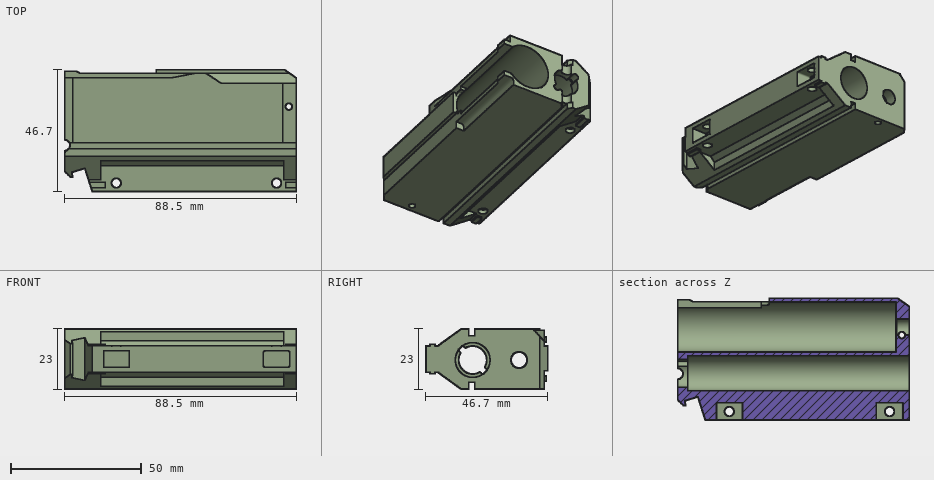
import cadquery as cq

LENGTH = 88.5
HALF_HEIGHT = 11.5
SIDE_Y = 9.65
TAIL_Y = -35.6
RAIL_HALF_HEIGHT = 5.05
SHOULDER_Y = -22.1
FLANK_FOOT_Y = -31.1

BORE_DIAMETER = 19.0
BORE_Z = -0.35
END_WALL_X = 83.4
END_HOLE_DIAMETER = 6.0
END_HOLE_CHAMFER = 0.3
COUNTERSINK_ANGLE = 45.0
CROSS_HOLE_DIAMETER = 2.5
CROSS_HOLE_X = 85.7
CROSS_HOLE_Y = -3.1

SLOT_WIDE_END_X = 31.9
SLOT_HALF_HEIGHT = 6.5
SLOT_END_X = 35.0
SLOT_NARROW_HALF_HEIGHT = 5.05
SLOT_END_RADIUS = 1.2
LIP_Y = 10.4
LIP_LENGTH = 4.5
LIP_TAPER_END_X = 5.9
LIP_OUTER_Z = 8.5

RIDGE_Y = 11.1
RIDGE_HALF_HEIGHT = 4.8
RIDGE_Z = 0.3
CORNER_START_X = 84.0
CORNER_END_Y = 7.9

PLATE_DEPTH = 0.4
PLATE_START_X = 3.1
LEDGE_Y = 7.9
LEDGE_FLAT_END_X = 40.7
LEDGE_END_X = 50.0
BEVEL_START_X = 54.0
BEVEL_FULL_X = 59.9
BEVEL_Y = 5.75
BEVEL_DROP = 4.25

LOWER_CUT_Y = 6.3
LOWER_CUT_RADIUS = 1.2

KEY_BORE_DIAMETER = 10.6
KEY_BORE_Y = -17.7
KEY_BORE_DEPTH = 3.9
KEY_WIDTH = 2.5
KEY_REACH = 7.2
KEY_CORNER_DIAMETER = 2.0
KEY_ANGLE = 45.0
CAVITY_DIAMETER = 13.3

GROOVE_FAR_Y = -19.2
GROOVE_NEAR_Y = -17.0
GROOVE_DEPTH = 2.6
NOTCH_RADIUS = 2.0
NOTCH_Y = -17.9
FLARE_LENGTH = 1.5
FLARE_WIDTH = 1.4

RELIEF_START_X = 13.8
RELIEF_END_X = 83.6
RELIEF_WALL_Y = -23.7
RELIEF_WALL_Z = 7.0

PAD_HEIGHT = 0.6
PAD_NEAR_Y = -32.0
PAD_FAR_Y = -34.1
PAD_LEFT_END_X = 15.5
PAD_RIGHT_START_X = 84.4
POCKET_HALF_HEIGHT = 3.1
POCKET_DEPTH = 6.55
PIN_HOLE_DIAMETER = 3.5
PIN_HOLE_Y = -32.3
LEFT_POCKET = (14.9, 24.7)
RIGHT_POCKET = (75.9, 86.0)
LEFT_PIN_X = 19.7
RIGHT_PIN_X = 81.0
POCKET_RADIUS = 0.6

SIDES = (1, -1)


def box(x0, x1, y0, y1, z0, z1):
    """Axis-aligned block between two opposite corners."""
    return cq.Workplane("XY").box(x1 - x0, y1 - y0, z1 - z0, centered=False).translate((x0, y0, z0))


def along_x(points, x0, x1):
    """Prism along X from (y, z) points."""
    return cq.Workplane("YZ", origin=(x0, 0, 0)).polyline(points).close().extrude(x1 - x0)


def along_z(points, z0, z1):
    """Prism along Z from (x, y) points."""
    return cq.Workplane("XY", origin=(0, 0, z0)).polyline(points).close().extrude(z1 - z0)


def rod_x(diameter, y, z, x0, x1):
    """Cylinder along X."""
    return cq.Workplane("YZ", origin=(x0, y, z)).circle(diameter / 2).extrude(x1 - x0)


def rod_z(diameter, x, y):
    """Cylinder along Z through the full height."""
    return cq.Workplane("XY", origin=(x, y, -HALF_HEIGHT)).circle(diameter / 2).extrude(2 * HALF_HEIGHT)


def make_body():
    """Outer profile with the ridge, the lips and the rail pads."""
    half = [
        (SIDE_Y, HALF_HEIGHT),
        (SHOULDER_Y, HALF_HEIGHT),
        (FLANK_FOOT_Y, RAIL_HALF_HEIGHT),
        (TAIL_Y, RAIL_HALF_HEIGHT),
    ]
    body = along_x(half + [(y, -z) for y, z in reversed(half)], 0, LENGTH)
    ridge_low = RIDGE_Z - RIDGE_HALF_HEIGHT
    ridge_high = RIDGE_Z + RIDGE_HALF_HEIGHT
    body = body.union(box(SLOT_END_X, LENGTH, 0, RIDGE_Y, ridge_low, ridge_high))
    lip = [
        (0, LEDGE_Y),
        (0, LIP_Y),
        (LIP_LENGTH, LIP_Y),
        (LIP_TAPER_END_X, SIDE_Y),
        (LIP_TAPER_END_X, LEDGE_Y),
    ]
    body = body.union(along_z(lip, -LIP_OUTER_Z, LIP_OUTER_Z))
    pad_z = RAIL_HALF_HEIGHT + PAD_HEIGHT
    for x0, x1 in ((0, PAD_LEFT_END_X), (PAD_RIGHT_START_X, LENGTH)):
        body = body.union(box(x0, x1, PAD_FAR_Y, PAD_NEAR_Y, -pad_z, pad_z))
    return body


def corner_chamfer():
    """Wedge removed from the +X, +Y corner."""
    wedge = [(CORNER_START_X, RIDGE_Y), (LENGTH, RIDGE_Y), (LENGTH, CORNER_END_Y)]
    return along_z(wedge, -HALF_HEIGHT, HALF_HEIGHT)


def main_bore():
    """Bore with its countersunk end hole, cross hole and stepped side opening."""
    cut = rod_x(BORE_DIAMETER, 0, BORE_Z, 0, END_WALL_X)
    cut = cut.union(rod_x(END_HOLE_DIAMETER, 0, BORE_Z, 0, LENGTH))
    cut = cut.union(rod_z(CROSS_HOLE_DIAMETER, CROSS_HOLE_X, CROSS_HOLE_Y))
    countersink = (
        cq.Workplane("YZ", origin=(END_WALL_X, 0, BORE_Z))
        .circle(END_HOLE_DIAMETER / 2 + END_HOLE_CHAMFER)
        .extrude(END_HOLE_CHAMFER, taper=COUNTERSINK_ANGLE)
    )
    wide_slot = box(0, SLOT_WIDE_END_X, 0, RIDGE_Y, -SLOT_HALF_HEIGHT, SLOT_HALF_HEIGHT)
    narrow_slot = box(0, SLOT_END_X, 0, RIDGE_Y, -SLOT_NARROW_HALF_HEIGHT, SLOT_NARROW_HALF_HEIGHT)
    narrow_slot = narrow_slot.edges("|Y and >X").fillet(SLOT_END_RADIUS)
    return cut.union(countersink).union(wide_slot).union(narrow_slot)


def top_plate_cuts():
    """Shallow plate recess, the stepped ledge and the bevel beside it."""
    plate_z = HALF_HEIGHT - PLATE_DEPTH
    cut = box(PLATE_START_X, END_WALL_X, GROOVE_NEAR_Y, SIDE_Y, plate_z, HALF_HEIGHT)
    ledge = [
        (0, LEDGE_Y),
        (LEDGE_FLAT_END_X, LEDGE_Y),
        (LEDGE_END_X, SIDE_Y),
        (LEDGE_END_X, RIDGE_Y),
        (0, RIDGE_Y),
    ]
    cut = cut.union(along_z(ledge, LIP_OUTER_Z, HALF_HEIGHT))
    bevel = along_x(
        [(BEVEL_Y, HALF_HEIGHT), (BEVEL_Y, plate_z), (SIDE_Y, plate_z - BEVEL_DROP), (SIDE_Y, HALF_HEIGHT)],
        BEVEL_START_X,
        LENGTH,
    )
    bevel_plan = [(BEVEL_START_X, SIDE_Y), (BEVEL_FULL_X, BEVEL_Y), (LENGTH, BEVEL_Y), (LENGTH, SIDE_Y)]
    return cut.union(bevel.intersect(along_z(bevel_plan, 0, HALF_HEIGHT)))


def lower_edge_cut():
    """Step along the lower +Y edge with a rounded inner corner."""
    step = box(0, SLOT_END_X, LOWER_CUT_Y, RIDGE_Y, -HALF_HEIGHT, -LIP_OUTER_Z)
    return step.edges("|X and <Y and >Z").fillet(LOWER_CUT_RADIUS)


def keyed_bore():
    """Entry bore with two diagonal keys, opening into a wider cavity."""
    cut = rod_x(KEY_BORE_DIAMETER, KEY_BORE_Y, BORE_Z, 0, KEY_BORE_DEPTH)
    keys = (
        cq.Workplane("YZ", origin=(0, KEY_BORE_Y, BORE_Z))
        .transformed(rotate=(0, 0, -KEY_ANGLE))
        .rect(2 * KEY_REACH, KEY_WIDTH)
        .extrude(KEY_BORE_DEPTH)
        .edges("|X")
        .fillet(KEY_CORNER_DIAMETER / 2)
    )
    return cut.union(keys).union(rod_x(CAVITY_DIAMETER, KEY_BORE_Y, BORE_Z, KEY_BORE_DEPTH, LENGTH))


def grooves():
    """Long grooves with flared ends and the round notch between them."""
    cut = rod_z(2 * NOTCH_RADIUS, 0, NOTCH_Y)
    flare = [(0, GROOVE_FAR_Y), (FLARE_LENGTH, GROOVE_FAR_Y), (0, GROOVE_FAR_Y - FLARE_WIDTH)]
    for side in SIDES:
        floor, rim = sorted((side * (HALF_HEIGHT - GROOVE_DEPTH), side * HALF_HEIGHT))
        cut = cut.union(box(0, LENGTH, GROOVE_FAR_Y, GROOVE_NEAR_Y, floor, rim))
        cut = cut.union(along_z(flare, floor, rim))
    return cut


def flank_reliefs():
    """Relief in both flanks: an upright wall and a 45 degree floor down to the rail."""
    foot_y = RELIEF_WALL_Y - (RELIEF_WALL_Z - RAIL_HALF_HEIGHT)
    upper = along_x(
        [
            (RELIEF_WALL_Y, HALF_HEIGHT),
            (RELIEF_WALL_Y, RELIEF_WALL_Z),
            (foot_y, RAIL_HALF_HEIGHT),
            (TAIL_Y, RAIL_HALF_HEIGHT),
            (TAIL_Y, HALF_HEIGHT),
        ],
        RELIEF_START_X,
        RELIEF_END_X,
    )
    pads = box(0, LENGTH, PAD_FAR_Y, PAD_NEAR_Y, RAIL_HALF_HEIGHT, RAIL_HALF_HEIGHT + PAD_HEIGHT)
    upper = upper.cut(pads)
    return upper.union(upper.mirror("XY"))


def hook_cut():
    """Hooked corner where the -X end meets the rail."""
    outline = [
        (0, -27.9),
        (2.2, -30.0),
        (3.1, -30.0),
        (2.7, -28.2),
        (7.7, -26.7),
        (10.5, TAIL_Y),
        (0, TAIL_Y),
    ]
    return along_z(outline, -HALF_HEIGHT, HALF_HEIGHT)


def rail_pockets():
    """Two pockets in the rail face, each crossed by a pin hole."""
    back_y = TAIL_Y + POCKET_DEPTH
    left, right = (
        box(x0, x1, TAIL_Y, back_y, -POCKET_HALF_HEIGHT, POCKET_HALF_HEIGHT)
        for x0, x1 in (LEFT_POCKET, RIGHT_POCKET)
    )
    cut = left.union(right.edges("|Y").fillet(POCKET_RADIUS))
    for x in (LEFT_PIN_X, RIGHT_PIN_X):
        cut = cut.union(rod_z(PIN_HOLE_DIAMETER, x, PIN_HOLE_Y))
    return cut


result = make_body()
for feature in (
    corner_chamfer,
    main_bore,
    top_plate_cuts,
    lower_edge_cut,
    keyed_bore,
    grooves,
    flank_reliefs,
    hook_cut,
    rail_pockets,
):
    result = result.cut(feature())